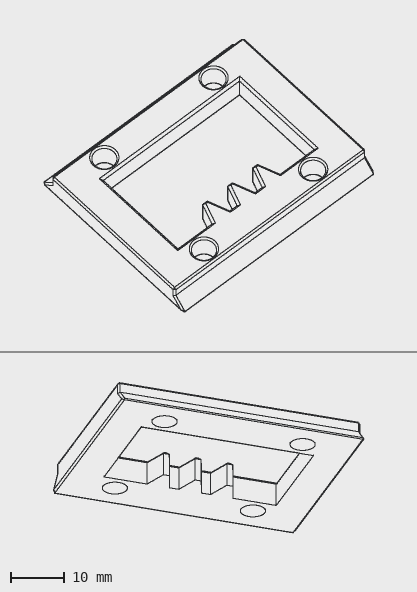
import cadquery as cq
import math

length = 47.85
height = 5.0
body_width = 34.4
shoulder_height = 2.8
foot_width = body_width + 2 * shoulder_height
edge_chamfer = 0.4

window_width = 20.9
window_length = 34.0
window_chamfer = 0.55

tooth_count = 3
tooth_pitch = 6.25
tooth_height = 4.5
tooth_tip_width = 1.2
pressure_angle = 20.0

hole_diameter = 4.7
hole_spacing_x = 27.9
hole_spacing_y = 27.25


def make_plate():
    """Dovetail bar with every outer edge chamfered except the inside shoulder corners."""
    half_body = body_width / 2
    half_foot = foot_width / 2
    plate = (
        cq.Workplane("XZ")
        .polyline([
            (-half_foot, 0),
            (half_foot, 0),
            (half_body, shoulder_height),
            (half_body, height),
            (-half_body, height),
            (-half_body, shoulder_height),
        ])
        .close()
        .extrude(length / 2, both=True)
    )
    return plate.edges("(<Y or >Y) or (|Y and (<Z or >Z))").chamfer(edge_chamfer)


def make_window():
    """Cutter for the toothed window: a rectangle less the rack teeth."""
    wall_x = window_width / 2
    tip_x = wall_x - tooth_height
    half_tip = tooth_tip_width / 2
    half_root = half_tip + tooth_height * math.tan(math.radians(pressure_angle))
    points = [(-wall_x, -window_length / 2), (wall_x, -window_length / 2)]
    for index in range(tooth_count):
        center_y = (index - (tooth_count - 1) / 2) * tooth_pitch
        points += [
            (wall_x, center_y - half_root),
            (tip_x, center_y - half_tip),
            (tip_x, center_y + half_tip),
            (wall_x, center_y + half_root),
        ]
    points += [(wall_x, window_length / 2), (-wall_x, window_length / 2)]
    return cq.Workplane("XY").polyline(points).close().extrude(height)


def make_holes():
    """Cutters for the four screw holes."""
    return (
        cq.Workplane("XY")
        .rect(hole_spacing_x, hole_spacing_y, forConstruction=True)
        .vertices()
        .circle(hole_diameter / 2)
        .extrude(height)
    )


result = make_plate().cut(make_window()).cut(make_holes())

top_rims = result.faces(">Z").val().innerWires()
for rim in top_rims:
    is_hole = rim.Edges()[0].geomType() == "CIRCLE"
    size = edge_chamfer if is_hole else window_chamfer
    result = result.newObject(rim.Edges()).chamfer(size)